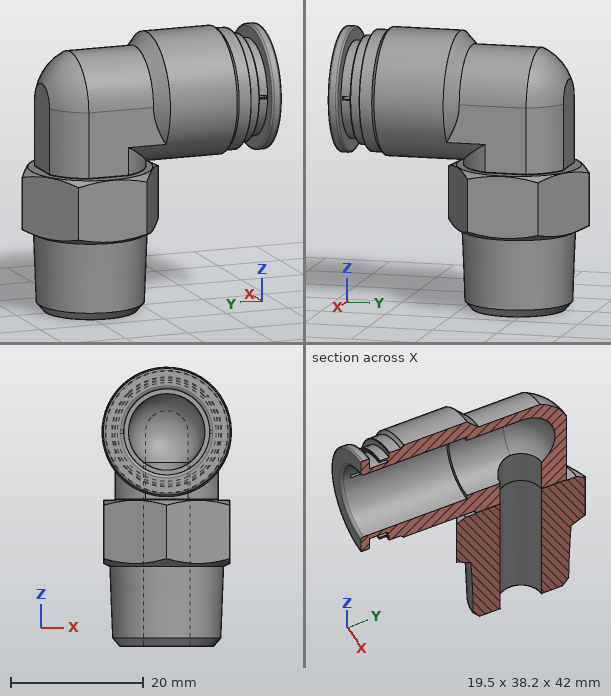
import cadquery as cq
import math


elbow_half_width = 7.75
bend_radius = 8.4
leg_length = 10.25
leg_chamfer = 0.13

barrel_radius = 9.75
barrel_back = 9.2
barrel_front = 19.95
collar_radius = 9.25
collar_front = 22.43
collar_chamfer = 0.1
nose_radius = 8.27
nose_front = 24.1
nose_chamfer = 0.13

sleeve_radius = 7.45
gap_radius = 7.85
gap_bottom = 22.7
flange_radius = 9.55
flange_back = 25.7
flange_front = 27.2
flange_fillet = 0.3
mouth_fillet = 0.45
slot_height = 0.5
slot_front = 25.5

tube_bore_radius = 6.45
tube_stop = 9.25
passage_radius = 5.75
leg_bore_radius = 3.5

hex_across_flats = 19.0
hex_height = 10.0
hex_top_land_radius = 9.4
hex_bottom_land_radius = 8.55
hex_chamfer_angle = 26.0
thread_length = 12.0
thread_top_radius = 8.55
thread_end_radius = 8.15
thread_tip_radius = 7.05
thread_tip_height = 1.25

shoulder_back = barrel_back - (barrel_radius - elbow_half_width)
collar_back = barrel_front + (barrel_radius - collar_radius)
hex_corner_radius = hex_across_flats / math.sqrt(3)
hex_bottom = leg_length + hex_height
stud_bottom = hex_bottom + thread_length


def turn_about_port(profile):
    """Revolve (radius, distance from the leg axis) points about the port axis."""
    points = [(radius, -distance) for radius, distance in profile]
    return cq.Workplane("XY").polyline(points).close().revolve(360, (0, 0), (0, 1))


def turn_about_leg(profile):
    """Revolve (radius, depth below the port axis) points about the leg axis."""
    points = [(radius, -depth) for radius, depth in profile]
    return cq.Workplane("XZ").polyline(points).close().revolve(360, (0, 0), (0, 1))


def rod(radius, start, end):
    """Rectangle that revolves into a plain cylinder."""
    return [(0, start), (radius, start), (radius, end), (0, end)]


def make_leg():
    """Vertical leg: a cylinder with four flats and a small chamfer around its foot."""
    width = 2 * elbow_half_width
    block = cq.Workplane("XY").rect(width, width).extrude(-leg_length)
    leg = block.intersect(turn_about_leg(rod(bend_radius, 0, leg_length)))
    return leg.faces("<Z").chamfer(leg_chamfer)


def make_arm():
    """Horizontal arm whose back end is rounded by a ball centred on the bend."""
    arm = turn_about_port(rod(elbow_half_width, -elbow_half_width, barrel_back))
    ball = cq.Workplane("XY").sphere(bend_radius)
    front_part = turn_about_port(rod(bend_radius, 0, barrel_back))
    return arm.intersect(ball.union(front_part))


def make_web():
    """Lower half of the barrel carried back to the leg, as wide as the leg."""
    section = turn_about_port(rod(barrel_radius, 0, barrel_back))
    block = (
        cq.Workplane("XY")
        .center(0, -barrel_back / 2)
        .rect(2 * elbow_half_width, barrel_back)
        .extrude(-barrel_radius)
    )
    return section.intersect(block)


def make_barrel():
    """Conical shoulder, barrel, collar and nose."""
    return turn_about_port([
        (0, shoulder_back),
        (elbow_half_width, shoulder_back),
        (barrel_radius, barrel_back),
        (barrel_radius, barrel_front),
        (collar_radius, collar_back),
        (collar_radius, collar_front - collar_chamfer),
        (collar_radius - collar_chamfer, collar_front),
        (nose_radius, collar_front),
        (nose_radius, nose_front - nose_chamfer),
        (nose_radius - nose_chamfer, nose_front),
        (0, nose_front),
    ])


def make_release_flange():
    """Sleeve standing in the nose gap, with a rounded flange and a slot through both side walls."""
    flange = turn_about_port(rod(flange_radius, flange_back, flange_front))
    bore = turn_about_port(rod(tube_bore_radius, gap_bottom, flange_front))
    flange = flange.edges("%CIRCLE").fillet(flange_fillet)
    sleeve_and_flange = flange.union(turn_about_port(rod(sleeve_radius, gap_bottom, flange_front)))
    sleeve_and_flange = sleeve_and_flange.cut(bore)
    mouth_edge = cq.selectors.RadiusNthSelector(0)
    sleeve_and_flange = sleeve_and_flange.faces("<Y").edges(mouth_edge).fillet(mouth_fillet)
    slot = (
        cq.Workplane("XY")
        .center(0, -(gap_bottom + slot_front) / 2)
        .rect(2 * flange_radius, slot_front - gap_bottom)
        .extrude(slot_height / 2, both=True)
    )
    return sleeve_and_flange.cut(slot)


def make_passage():
    """Flow path: a round-ended port bore and a narrower bore down the leg and stud."""
    ball = cq.Workplane("XY").sphere(passage_radius)
    port_bore = turn_about_port(rod(passage_radius, 0, tube_stop))
    leg_bore = turn_about_leg(rod(leg_bore_radius, 0, stud_bottom))
    return ball.union(port_bore).union(leg_bore)


def make_elbow():
    elbow = make_leg().union(make_arm()).union(make_web()).union(make_barrel())
    elbow = elbow.cut(make_passage())
    elbow = elbow.cut(turn_about_port(rod(tube_bore_radius, tube_stop, nose_front)))
    elbow = elbow.cut(turn_about_port(rod(gap_radius, gap_bottom, nose_front)))
    return elbow.union(make_release_flange())


def make_hex_nut():
    """Hexagon with corners on the Y axis, its top and bottom corners turned off conically."""
    nut = (
        cq.Workplane("XY")
        .workplane(offset=-hex_bottom)
        .transformed(rotate=(0, 0, 90))
        .polygon(6, 2 * hex_corner_radius)
        .extrude(hex_height)
    )
    slope = math.tan(math.radians(hex_chamfer_angle))
    top_drop = (hex_corner_radius - hex_top_land_radius) * slope
    bottom_rise = (hex_corner_radius - hex_bottom_land_radius) * slope
    envelope = turn_about_leg([
        (0, leg_length),
        (hex_top_land_radius, leg_length),
        (hex_corner_radius, leg_length + top_drop),
        (hex_corner_radius, hex_bottom - bottom_rise),
        (hex_bottom_land_radius, hex_bottom),
        (0, hex_bottom),
    ])
    return nut.intersect(envelope)


def make_thread():
    """Plain tapered cone in place of the thread, with a chamfered tip."""
    return turn_about_leg([
        (0, hex_bottom),
        (thread_top_radius, hex_bottom),
        (thread_end_radius, stud_bottom - thread_tip_height),
        (thread_tip_radius, stud_bottom),
        (0, stud_bottom),
    ])


def make_stud():
    bore = turn_about_leg(rod(leg_bore_radius, leg_length, stud_bottom))
    return make_hex_nut().union(make_thread()).cut(bore)


elbow = make_elbow()
stud = make_stud()
result = cq.Compound.makeCompound([*elbow.solids().vals(), *stud.solids().vals()])